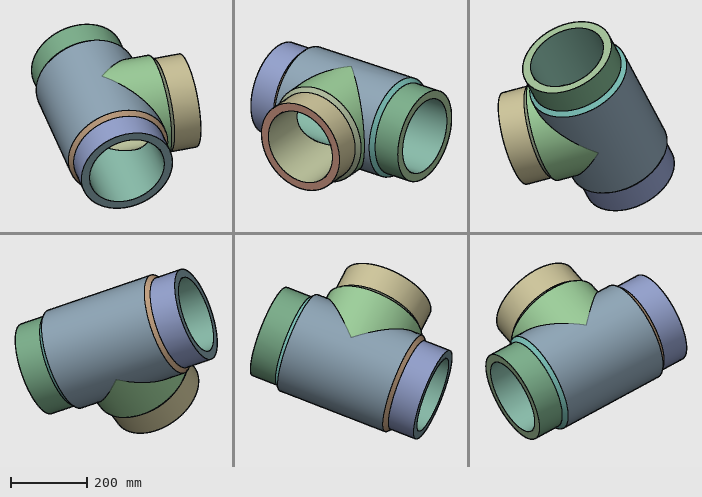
import cadquery as cq

run_length = 470.0
body_diameter = 272.5
spigot_diameter = 250.0
bore_diameter = 205.0
spigot_length = 72.5

arm_length = run_length / 2
body_radius = body_diameter / 2
spigot_radius = spigot_diameter / 2
shoulder = body_radius - spigot_radius
body_length = arm_length - spigot_length


def arm(plane):
    """Solid arm from the tee centre along the plane normal, with a tapered shoulder and a spigot."""
    body = cq.Workplane(plane).circle(body_radius).extrude(body_length)
    body = body.faces(cq.selectors.DirectionMinMaxSelector(plane.zDir)).chamfer(shoulder)
    spigot = cq.Workplane(plane).circle(spigot_radius).extrude(arm_length)
    return body.union(spigot)


def bore(plane):
    """Bore from the tee centre out through the end of one arm."""
    return cq.Workplane(plane).circle(bore_diameter / 2).extrude(arm_length)


center = (0, 0, 0)
left = cq.Plane(center, xDir=(0, 1, 0), normal=(-1, 0, 0))
right = cq.Plane(center, xDir=(0, 1, 0), normal=(1, 0, 0))
branch = cq.Plane(center, xDir=(1, 0, 0), normal=(0, 1, 0))

outside = arm(left).union(arm(right)).union(arm(branch))
inside = bore(left).union(bore(right)).union(bore(branch))
result = outside.cut(inside)